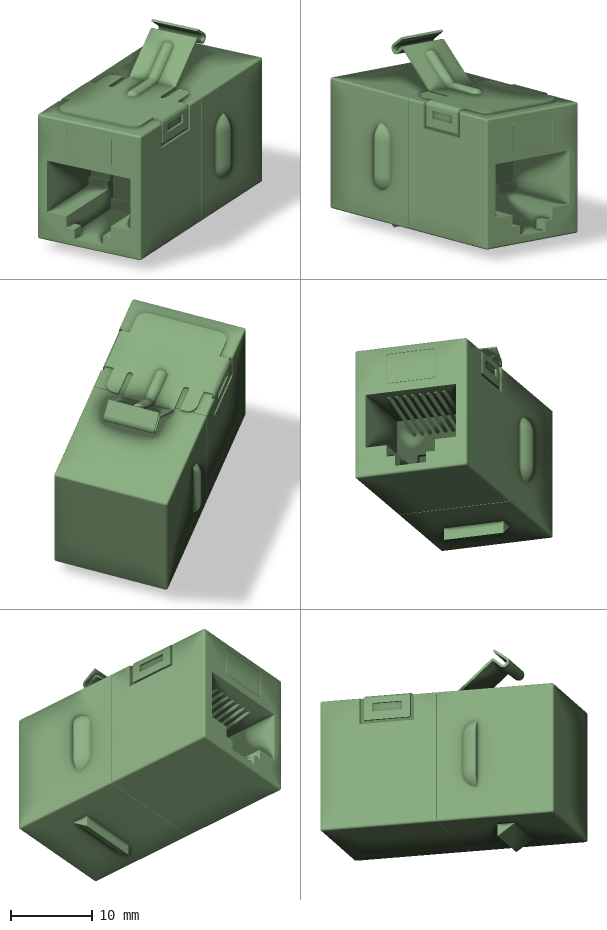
import cadquery as cq
import math

body_width = 14.73
body_length = 30.0
body_height = 16.5
edge_radius = 0.27
seam_size = 0.1

sheet = 0.3
plate_top = body_height + sheet

front_y = -body_length / 2
side_x = body_width / 2
overlap = 0.15


def box(x_range, y_range, z_range):
    """Axis-aligned box between pairs of coordinates."""
    lows, highs = zip(x_range, y_range, z_range)
    sizes = [high - low for low, high in zip(lows, highs)]
    return cq.Workplane("XY").box(*sizes, centered=False).translate(lows)


def centred(width):
    """Coordinate pair of a span centred on zero."""
    return (-width / 2, width / 2)


def housing():
    block = box(centred(body_width), centred(body_length), (0, body_height)).edges().fillet(edge_radius)
    seam = (
        cq.Workplane("XZ", origin=(0, seam_size / 2, 0))
        .center(0, body_height / 2)
        .rect(body_width + overlap, body_height + overlap)
        .rect(body_width - 2 * seam_size, body_height - 2 * seam_size)
        .extrude(seam_size)
    )
    return block.cut(seam)


frame_width = 6.55
frame_bottom = 11.7
frame_top = 15.57
frame_radius = 0.42
frame_line = 0.1
frame_depth = 0.1


def label_frame():
    height = frame_top - frame_bottom
    middle_z = (frame_top + frame_bottom) / 2

    def plate(inset):
        return (
            cq.Workplane("XZ", origin=(0, front_y + frame_depth, middle_z))
            .rect(frame_width - 2 * inset, height - 2 * inset)
            .extrude(frame_depth)
            .edges("|Y")
            .fillet(frame_radius - inset)
        )

    return plate(0).cut(plate(frame_line))


socket_width = 11.85
socket_roof = 10.62
ledge_z = 3.78
ledge_step_z = 4.83
ledge_step_depth = 10.2
socket_depth = 10.8

latch_slot_width = 6.35
latch_slot_floor = 0.95
latch_mouth_width = 4.08
stop_height = 2.28
stop_length = 1.65
latch_pocket_top = 5.88
latch_pocket_depth = 11.4

contact_count = 8
contact_pitch = 1.02
contact_diameter = 0.48
contact_root_depth = 2.4
contact_tip_z = 8.6


def socket():
    def depth_span(start, end):
        return (front_y + start, front_y + end)

    slot = centred(latch_slot_width)
    upper = box(centred(socket_width), depth_span(0, ledge_step_depth), (ledge_z, socket_roof))
    rear = box(centred(socket_width), depth_span(0, socket_depth), (ledge_step_z, socket_roof))
    upper_slot = box(slot, depth_span(0, socket_depth), (stop_height, ledge_step_z))
    lower_slot = box(slot, depth_span(stop_length, socket_depth), (latch_slot_floor, stop_height))
    mouth = box(centred(latch_mouth_width), depth_span(0, stop_length), (latch_slot_floor, stop_height))
    pocket = box(slot, depth_span(0, latch_pocket_depth), (stop_height, latch_pocket_top))
    return upper.union(rear).union(upper_slot).union(lower_slot).union(mouth).union(pocket)


def contacts():
    """Round wires sloping from the socket roof down to its rear wall."""
    run = socket_depth - contact_root_depth
    drop = socket_roof - contact_tip_z
    length = math.hypot(run, drop)
    direction = cq.Vector(0, run / length, -drop / length)
    wires = cq.Workplane("XY")
    for index in range(contact_count):
        x = (index - (contact_count - 1) / 2) * contact_pitch
        start = cq.Vector(x, front_y + contact_root_depth, socket_roof) - direction * contact_diameter
        wire = cq.Solid.makeCylinder(contact_diameter / 2, length + 2 * contact_diameter, start, direction)
        wires = wires.union(cq.Workplane(wire))
    return wires


wing_reach = 1.0
wing_back_y = 5.28
wing_length = 1.98
wing_bottom = 4.02
wing_top = 12.48


def wing():
    """Wing on the +X side: an arc profile, straight in Z and revolved at both ends."""
    arc_radius = (wing_length**2 + wing_reach**2) / (2 * wing_reach)
    mid_run = wing_length / 2
    mid_reach = wing_reach - arc_radius + math.sqrt(arc_radius**2 - mid_run**2)
    low_z = wing_bottom + wing_length
    high_z = wing_top - wing_length

    def profile():
        return (
            cq.Workplane("XY", origin=(side_x, wing_back_y, low_z))
            .moveTo(-overlap, 0)
            .lineTo(wing_reach, 0)
            .threePointArc((mid_reach, -mid_run), (0, -wing_length))
            .lineTo(-overlap, -wing_length)
            .close()
        )

    middle = profile().extrude(high_z - low_z)
    lower_end = profile().revolve(90, (0, 0, 0), (1, 0, 0))
    upper_end = lower_end.mirror("XY", (0, 0, (low_z + high_z) / 2))
    return middle.union(lower_end).union(upper_end)


catch_width = 7.85
catch_back_y = 9.0
catch_front_y = 6.8
catch_drop = 1.5


def catch():
    return (
        cq.Workplane("YZ", origin=(-catch_width / 2, 0, 0))
        .moveTo(catch_back_y, overlap)
        .lineTo(catch_back_y, 0)
        .lineTo(catch_front_y, -catch_drop)
        .lineTo(catch_front_y, overlap)
        .close()
        .extrude(catch_width)
    )


plate_width = 11.67
plate_front_y = -13.08
plate_back_y = 0.27
plate_radius = 1.23
tab_width = 6.55
tab_root_y = 0.63
slot_width = 0.75
slot_end_y = -3.42


def clip_plate():
    top = (body_height, plate_top)
    plate = box(centred(plate_width), (plate_front_y, plate_back_y), top).edges("|Z").fillet(plate_radius)
    root = box(centred(tab_width), (slot_end_y, tab_root_y), top)
    plate = plate.union(root)
    slot_x = (tab_width + slot_width) / 2
    slot_length = plate_back_y - slot_end_y + slot_width
    slots = (
        cq.Workplane("XY", origin=(0, slot_end_y + slot_length / 2, body_height))
        .pushPoints([(-slot_x, 0), (slot_x, 0)])
        .slot2D(slot_length, slot_width, 90)
        .extrude(sheet)
    )
    return plate.cut(slots)


ear_front_y = -9.35
ear_back_y = -3.42
ear_bottom = 13.65
ear_bend_radius = 0.65
ear_outer_x = 7.3
recess_margin = 0.5
recess_bottom = 13.2
window_front_y = -8.25
window_back_y = -4.47
window_bottom = 14.7
window_top = 15.75


def ear_recess():
    """Pocket in the +X side wall, deep enough for the ear to lie on its floor."""
    return box(
        (ear_outer_x - sheet, side_x),
        (ear_front_y - recess_margin, ear_back_y + recess_margin),
        (recess_bottom, body_height),
    )


def ears():
    """Both ears and the bridge between them."""
    fold = box(centred(2 * ear_outer_x), (ear_front_y, ear_back_y), (ear_bottom, plate_top))
    fold = fold.edges("|Y and >Z").fillet(ear_bend_radius)
    for side in (-1, 1):
        window = box(
            sorted((side * ear_outer_x, side * (ear_outer_x - sheet))),
            (window_front_y, window_back_y),
            (window_bottom, window_top),
        )
        fold = fold.cut(window)
    return fold


tab_slope = 41.0
tab_run = 6.87
crest_turn = -81.0
crest_radius = 0.25
crest_run = 1.15
curl_turn = 185.0
curl_radius = 0.55
tip_run = 1.95


def spring_tab():
    """Bent strip; each move is a straight run followed by a bend of its centreline."""
    moves = [(tab_run, crest_turn, crest_radius), (crest_run, curl_turn, curl_radius), (tip_run, 0, 0)]
    half = sheet / 2

    def side_step(point, heading, distance):
        """Point moved to the left of the heading."""
        angle = math.radians(heading + 90)
        return (point[0] + distance * math.cos(angle), point[1] + distance * math.sin(angle))

    point = (tab_root_y, plate_top - half)
    heading = tab_slope
    left_points = [side_step(point, heading, half)]
    right_points = [side_step(point, heading, -half)]
    middles = []
    for run, turn, radius in moves:
        point = side_step(point, heading - 90, run)
        left_points.append(side_step(point, heading, half))
        right_points.append(side_step(point, heading, -half))
        middles.append(None)
        if turn:
            reach = math.copysign(radius, turn)
            centre = side_step(point, heading, reach)
            mid_heading = heading + turn / 2
            middles.append(
                (side_step(centre, mid_heading, half - reach), side_step(centre, mid_heading, -half - reach))
            )
            heading += turn
            point = side_step(centre, heading, -reach)
            left_points.append(side_step(point, heading, half))
            right_points.append(side_step(point, heading, -half))

    outline = cq.Workplane("YZ", origin=(-tab_width / 2, 0, 0)).moveTo(*left_points[0])
    for middle, end in zip(middles, left_points[1:]):
        outline = outline.threePointArc(middle[0], end) if middle else outline.lineTo(*end)
    outline = outline.lineTo(*right_points[-1])
    for middle, end in zip(reversed(middles), reversed(right_points[:-1])):
        outline = outline.threePointArc(middle[1], end) if middle else outline.lineTo(*end)
    return outline.close().extrude(tab_width)


bead_radius = 0.8
bead_height = 0.57
bend_y = 0.55
flat_bead_length = 4.75
sloped_bead_length = 4.98


def bead(length):
    """Round-ended bead along +Y from the origin, standing on the plane z = 0."""
    axis_z = bead_height - bead_radius
    bar = cq.Workplane("XZ", origin=(0, 0, axis_z)).circle(bead_radius).extrude(-length)
    ball = cq.Workplane("XY", origin=(0, length, axis_z)).sphere(bead_radius)
    keep = box(centred(2 * bead_radius), (0, length + bead_radius), (-overlap, bead_height))
    return bar.union(ball).intersect(keep)


def beads():
    flat = bead(flat_bead_length).rotate((0, 0, 0), (0, 0, 1), 180)
    sloped = bead(sloped_bead_length).rotate((0, 0, 0), (1, 0, 0), tab_slope)
    return flat.union(sloped).translate((0, bend_y, plate_top))


recess = ear_recess()
side_wing = wing()

result = housing().cut(label_frame()).cut(socket())
result = result.union(contacts())
result = result.cut(recess).cut(recess.mirror("YZ"))
result = result.union(side_wing).union(side_wing.mirror("YZ"))
result = result.union(catch())
result = result.union(clip_plate()).union(ears())
result = result.union(spring_tab()).union(beads())